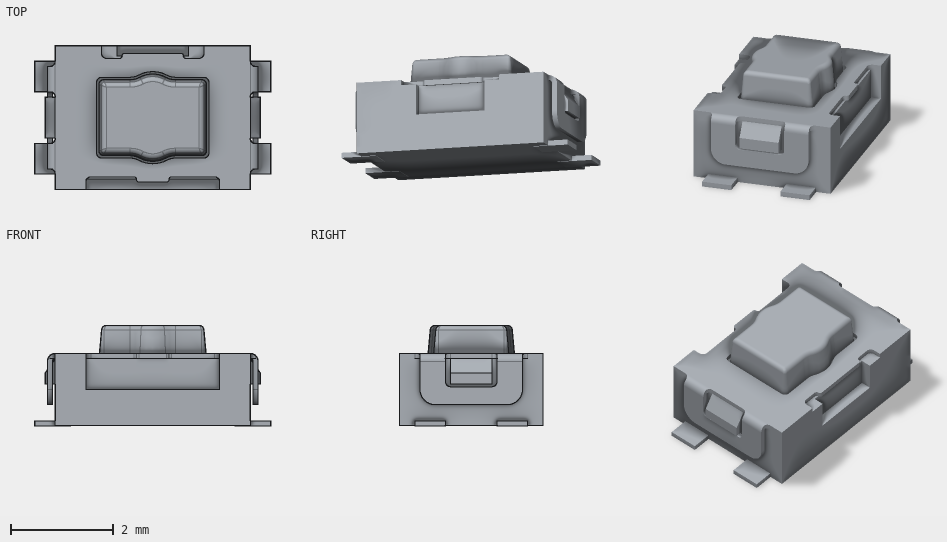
import cadquery as cq
import math


total_length = 4.6
body_width = 2.8
total_height = 1.96
lead_reach = 0.4
body_length = total_length - 2 * lead_reach
lead_standoff = 0.01
button_height = 0.547
cover_top = total_height - button_height
half_length = body_length / 2
half_width = body_width / 2

sheet = 0.1
cover_underside = cover_top - sheet
small_radius = 0.1

notch_depth = 0.25
tab_setback = 0.145
front_notch_half = 1.3
front_tab_half = 0.317
back_notch_half = 1.0
back_tab_half = 0.6

pocket_depth = 0.202
pocket_drop = 0.7
pocket_floor = cover_top - pocket_drop
front_pocket_half = front_notch_half
back_pocket_half = 0.7

flange_half = 1.0
flange_drop = 1.0
flange_gap = 0.05
flange_corner = 0.3
bend_radius = flange_gap + sheet
window_half = 0.5
window_drop = 0.65

hook_half = 0.4
hook_reach = 0.195
hook_ramp_drop = 0.375
hook_drop = 0.6

lead_thickness = 0.1
lead_near = 0.5
lead_far = 1.1
lead_inner = 0.295

button_half_length = 1.05
button_half_width = 0.74
button_taper = 5.2
button_edge_radius = 0.095
button_clearance = 0.045
bulge_half = 0.44
bulge_crown_half = 0.255
bulge_rise = 0.11


def box(x_range, y_range, z_range):
    """Box between the given limits along each axis."""
    (x0, x1), (y0, y1), (z0, z1) = x_range, y_range, z_range
    return cq.Workplane("XY").box(x1 - x0, y1 - y0, z1 - z0, centered=False).translate((x0, y0, z0))


def both_ends(right_end):
    """The shape at the +X end together with its mirror image at the -X end."""
    return right_end.union(right_end.mirror("YZ"))


def button_outline(height, growth):
    """Rounded rectangle grown outward, with a smooth bulge in the middle of both long sides."""
    x = button_half_length + growth
    y = button_half_width + growth
    corner_x = x - small_radius
    corner_y = y - small_radius
    slope = 2 * math.atan(bulge_rise / bulge_half)
    hollow_radius = (bulge_half - bulge_crown_half) / math.sin(slope) - growth
    hollow_mid_x = bulge_half - hollow_radius * math.sin(slope / 2)
    hollow_mid_y = y + hollow_radius * (1 - math.cos(slope / 2))
    join_x = bulge_half - hollow_radius * math.sin(slope)
    join_y = y + hollow_radius * (1 - math.cos(slope))
    crown_y = y + bulge_rise
    return (
        cq.Workplane("XY", origin=(0, 0, height))
        .moveTo(-x, corner_y)
        .radiusArc((-corner_x, y), small_radius)
        .lineTo(-bulge_half, y)
        .threePointArc((-hollow_mid_x, hollow_mid_y), (-join_x, join_y))
        .threePointArc((0, crown_y), (join_x, join_y))
        .threePointArc((hollow_mid_x, hollow_mid_y), (bulge_half, y))
        .lineTo(corner_x, y)
        .radiusArc((x, corner_y), small_radius)
        .lineTo(x, -corner_y)
        .radiusArc((corner_x, -y), small_radius)
        .lineTo(bulge_half, -y)
        .threePointArc((hollow_mid_x, -hollow_mid_y), (join_x, -join_y))
        .threePointArc((0, -crown_y), (-join_x, -join_y))
        .threePointArc((-hollow_mid_x, -hollow_mid_y), (-bulge_half, -y))
        .lineTo(-corner_x, -y)
        .radiusArc((-x, -corner_y), small_radius)
        .close()
    )


def make_button():
    """Tapered button standing on the body inside the cover opening, with a rounded top edge."""
    height = total_height - cover_underside
    button = button_outline(cover_underside, 0).extrude(height, taper=button_taper)
    return button.faces(">Z").edges().fillet(button_edge_radius)


def cover_notch(half, tab_half):
    """Cut-out in the cover along the +Y side, leaving a tab with S-shaped ends in the middle."""
    edge = half_width
    deep = edge - notch_depth
    tab = edge - tab_setback
    s_radius = (notch_depth - tab_setback) / 2
    notch = cq.Workplane("XY", origin=(0, 0, cover_underside)).moveTo(-half, edge)
    return (
        notch.lineTo(-half, deep + small_radius)
        .radiusArc((-half + small_radius, deep), -small_radius)
        .lineTo(-tab_half - s_radius, deep)
        .radiusArc((-tab_half, deep + s_radius), -s_radius)
        .radiusArc((-tab_half + s_radius, tab), s_radius)
        .lineTo(tab_half - s_radius, tab)
        .radiusArc((tab_half, deep + s_radius), s_radius)
        .radiusArc((tab_half + s_radius, deep), -s_radius)
        .lineTo(half - small_radius, deep)
        .radiusArc((half, deep + small_radius), -small_radius)
        .lineTo(half, edge)
        .close()
        .extrude(sheet)
    )


def side_pocket(half):
    """Recess in the +Y side of the body below the cover."""
    return box((-half, half), (half_width - pocket_depth, half_width), (pocket_floor, cover_underside))


def make_body():
    """Body and flat part of the cover, with the pockets, notches and button opening cut out."""
    body = box((-half_length, half_length), (-half_width, half_width), (lead_standoff, cover_top))
    back = cover_notch(back_notch_half, back_tab_half).union(side_pocket(back_pocket_half))
    front = cover_notch(front_notch_half, front_tab_half).union(side_pocket(front_pocket_half))
    opening = button_outline(cover_underside, button_clearance).extrude(sheet)
    return body.cut(back).cut(front.mirror("XZ")).cut(opening)


def bent_sheet(half):
    """Cover sheet bent down at the +X end, spanning from -half to half along Y."""
    inner = half_length + flange_gap
    outer = half_length + bend_radius
    bend_start = cover_top - bend_radius
    bottom = cover_top - flange_drop
    return (
        cq.Workplane("XZ", origin=(0, half, 0))
        .moveTo(half_length, cover_top)
        .radiusArc((outer, bend_start), bend_radius)
        .lineTo(outer, bottom)
        .lineTo(inner, bottom)
        .lineTo(inner, bend_start)
        .radiusArc((half_length, cover_underside), -flange_gap)
        .close()
        .extrude(2 * half)
    )


def root_webs():
    """Concave corners where the flange edges and the window edges run into the body side."""
    side = half_length
    webs = cq.Workplane("XY")
    for edge_y, outward in ((flange_half, 1), (window_half, -1)):
        corner_y = edge_y + outward * small_radius
        web = (
            cq.Workplane("XY", origin=(0, 0, cover_underside))
            .moveTo(side, edge_y)
            .lineTo(side + small_radius, edge_y)
            .radiusArc((side, corner_y), outward * small_radius)
            .close()
            .extrude(sheet)
        )
        webs = webs.add(web).add(web.mirror("XZ"))
    return webs.combine().intersect(bent_sheet(half_width))


def make_flange():
    """Bent flange at the +X end with rounded lower corners and a window for the snap hook."""
    outer = half_length + bend_radius
    flange = bent_sheet(flange_half).edges("|X and <Z").fillet(flange_corner)
    window = box((half_length, outer), (-window_half, window_half), (cover_top - window_drop, cover_top))
    window = window.edges("|X and <Z").fillet(small_radius)
    return flange.cut(window).union(root_webs())


def make_hook():
    """Snap hook at the +X end: a ramp from the body side, then an upright face."""
    tip = half_length + hook_reach
    return (
        cq.Workplane("XZ", origin=(0, hook_half, 0))
        .moveTo(half_length, cover_underside)
        .lineTo(tip, cover_top - hook_ramp_drop)
        .lineTo(tip, cover_top - hook_drop)
        .lineTo(half_length, cover_top - hook_drop)
        .close()
        .extrude(2 * hook_half)
    )


def make_leads():
    """Pair of flat leads at the +X end."""
    lead = box((half_length - lead_inner, total_length / 2), (lead_near, lead_far), (0, lead_thickness))
    return lead.union(lead.mirror("XZ"))


result = (
    make_body()
    .union(make_button())
    .union(both_ends(make_flange()))
    .union(both_ends(make_hook()))
    .union(both_ends(make_leads()))
)